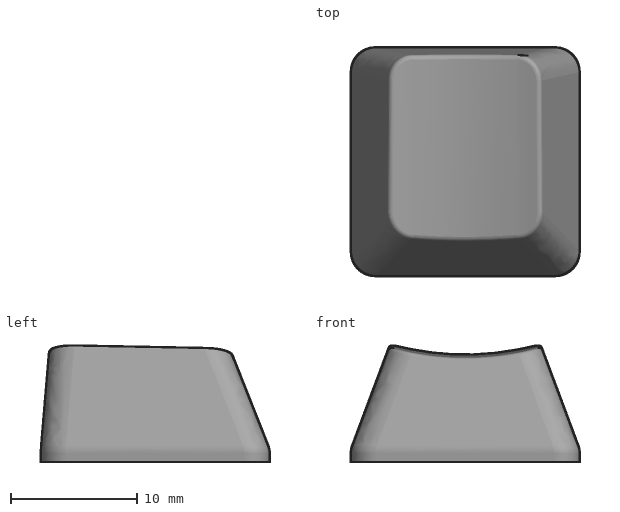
import cadquery as cq
import math

base_size = 18.16
half_base = base_size / 2
corner_radius = 2.0
skirt_height = 0.73
shoulder_rise = 0.55
shoulder_top = skirt_height + shoulder_rise
shoulder_steps = 3

side_lean = 20.5
front_lean = 21.6
back_lean = 4.8
blank_height = 10.17

dish_radius = 21.8
dish_floor = 8.37
dish_tilt = 1.2
rim_radius = 0.36


def wall_offset(lean, height):
    """Distance of a wall from the centre: vertical skirt, round shoulder, then straight slope."""
    angle = math.radians(lean)
    shoulder_radius = shoulder_rise / math.sin(angle)
    arc_rise = min(height - skirt_height, shoulder_rise)
    arc_inset = shoulder_radius - math.sqrt(shoulder_radius**2 - arc_rise**2)
    slope_inset = max(height - shoulder_top, 0) * math.tan(angle)
    return half_base - arc_inset - slope_inset


def section(height):
    """Rounded rectangle bounded by the four walls at the given height."""
    half_width = wall_offset(side_lean, height)
    front = -wall_offset(front_lean, height)
    back = wall_offset(back_lean, height)
    outline = cq.Sketch().rect(2 * half_width, back - front).vertices().fillet(corner_radius)
    return outline.moved(cq.Location(cq.Vector(0, (front + back) / 2, height)))


def make_body():
    """Skirt, rounded shoulder and tapered walls, stacked from the foot up."""
    skirt = (
        cq.Workplane("XY")
        .rect(base_size, base_size)
        .extrude(skirt_height)
        .edges("|Z")
        .fillet(corner_radius)
    )
    shoulder_heights = [
        skirt_height + shoulder_rise * step / shoulder_steps for step in range(shoulder_steps + 1)
    ]
    shoulder_sections = [section(height) for height in shoulder_heights]
    shoulder = cq.Workplane("XY").placeSketch(*shoulder_sections).loft()
    walls = cq.Workplane("XY").placeSketch(section(shoulder_top), section(blank_height)).loft(ruled=True)
    return skirt.union(shoulder).union(walls)


def make_dish_cutter():
    """Cylinder whose lowest line is the floor of the finger dish."""
    cylinder = cq.Workplane("XZ").circle(dish_radius).extrude(base_size, both=True)
    tilted = cylinder.rotate((0, 0, 0), (1, 0, 0), dish_tilt)
    return tilted.translate((0, 0, dish_floor + dish_radius))


dished = make_body().cut(make_dish_cutter())
dish_face = dished.faces(cq.selectors.CenterNthSelector(cq.Vector(0, 0, 1), -1))
result = dish_face.edges().fillet(rim_radius)